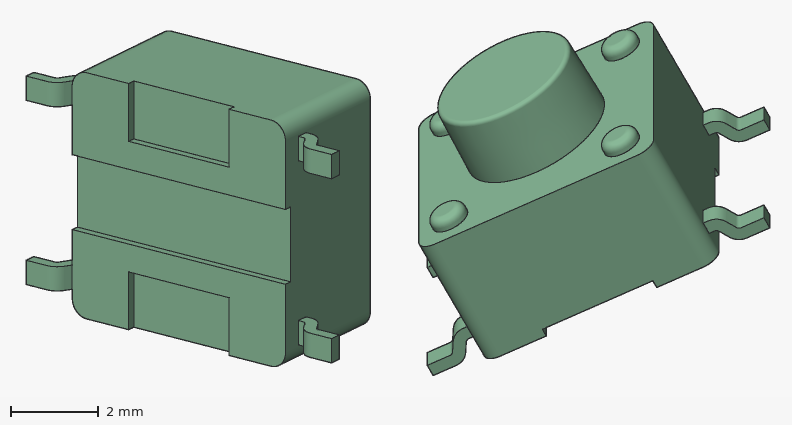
import cadquery as cq
import math

overall_width = 8.6
overall_depth = 5.0

body_side = 6.0
body_depth = 3.3
body_corner_radius = 0.41

recess_depth = 0.2
groove_width = 1.82
notch_width = 2.82
notch_length = 1.41

button_base_radius = 1.75
button_top_radius = 1.69
button_edge_radius = 0.1

peg_radius = 0.45
peg_height = 0.3
peg_edge_radius = 0.2
peg_offset = 2.19

lead_thickness = 0.3
lead_width = 0.59
lead_height = 0.8
lead_offset = 2.245
foot_length = 0.585
inner_bend_radius = 0.1
bend_angle = math.radians(60)
lead_embed = 0.17

signs = (-1, 1)


def make_housing():
    housing = cq.Workplane("XY").box(body_side, body_depth, body_side, centered=(True, False, True))
    housing = housing.edges("|Y").fillet(body_corner_radius)
    groove = cq.Workplane("XY").box(body_side, recess_depth, groove_width, centered=(True, False, True))
    housing = housing.cut(groove)
    for side in signs:
        notch = cq.Workplane("XY").box(notch_width, recess_depth, notch_length, centered=(True, False, True))
        housing = housing.cut(notch.translate((0, 0, side * (body_side - notch_length) / 2)))
    return housing


def make_button():
    profile = (
        cq.Workplane("XY")
        .moveTo(0, body_depth)
        .lineTo(button_base_radius, body_depth)
        .lineTo(button_top_radius, overall_depth)
        .lineTo(0, overall_depth)
        .close()
    )
    button = profile.revolve(360, (0, 0, 0), (0, 1, 0))
    return button.faces(">Y").edges().fillet(button_edge_radius)


def make_peg(x, z):
    axis = cq.Vector(0, 1, 0)
    peg = cq.Workplane(cq.Solid.makeCylinder(peg_radius, peg_height, cq.Vector(x, body_depth, z), axis))
    return peg.faces(">Y").edges().fillet(peg_edge_radius)


def make_lead():
    """Lead on the +X side, centred on Z = 0: a strip swept along an S-shaped centreline."""
    foot_y = lead_thickness / 2
    root_y = lead_height - lead_thickness / 2
    bend_radius = inner_bend_radius + lead_thickness / 2
    bend_run = bend_radius * math.sin(bend_angle)
    bend_rise = bend_radius * (1 - math.cos(bend_angle))
    slope_rise = root_y - foot_y - 2 * bend_rise
    slope_run = slope_rise / math.tan(bend_angle)

    tip_x = overall_width / 2
    foot_x = tip_x - foot_length
    lower_x = foot_x - bend_run
    upper_x = lower_x - slope_run
    root_x = upper_x - bend_run

    centreline = (
        cq.Workplane("XY")
        .moveTo(tip_x, foot_y)
        .lineTo(foot_x, foot_y)
        .tangentArcPoint((lower_x, foot_y + bend_rise), relative=False)
        .lineTo(upper_x, root_y - bend_rise)
        .tangentArcPoint((root_x, root_y), relative=False)
        .lineTo(body_side / 2 - lead_embed, root_y)
    )
    section = cq.Workplane("YZ", origin=(tip_x, foot_y, 0)).rect(lead_thickness, lead_width)
    return section.sweep(centreline)


result = make_housing().union(make_button())

for x_side in signs:
    for z_side in signs:
        result = result.union(make_peg(x_side * peg_offset, z_side * peg_offset))

right_lead = make_lead()
for lead in (right_lead, right_lead.mirror("YZ")):
    for z_side in signs:
        result = result.union(lead.translate((0, 0, z_side * lead_offset)))